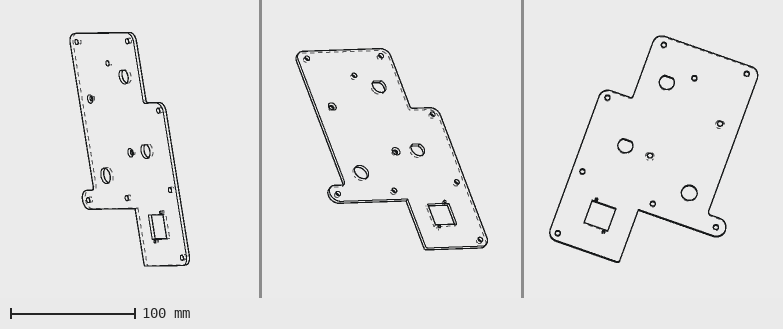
import cadquery as cq

THICKNESS = 3.0

LEFT = 10.0
RIGHT = 124.8
TOP = 136.2
BOTTOM = -54.7
STEP_U = 99.1
SHELF_V = 78.5
LEG_U = 63.5
BODY_BOTTOM = -7.5
EAR_RADIUS = 7.8
EAR_TOP = BODY_BOTTOM + 2 * EAR_RADIUS
EAR_LEFT = -8.0

CORNER_RADIUS = 7.5
EAR_NOTCH_RADIUS = 3.0
SMALL_RADIUS = 1.9
EAR_ROUND = EAR_RADIUS - 0.2

SCREW_DIAMETER = 4.2
SINK_DIAMETER = 7.0
SINK_ANGLE = 90
SCREW_POINTS = [
    (0, 0),
    (19.3, 129.4),
    (90.0, 129.4),
    (57.7, 111.5),
    (118.0, 72.2),
    (116.5, 7.2),
    (118.0, -48.2),
    (54.3, 1.1),
]
SINK_POINTS = [(25.5, 82.6), (69.8, 38.2)]

D_HOLE_RADIUS = 6.0
D_HOLE_FLAT = 5.0
D_HOLE_POINTS = [(77.4, 100.6), (91.2, 39.3)]
ROUND_HOLE_DIAMETER = 12.7
ROUND_HOLE_POINT = (29.7, 19.7)

WINDOW_WIDTH = 20.2
WINDOW_HEIGHT = 19.9
WINDOW_CENTER = (91.0, -22.9)
PILOT_DIAMETER = 2.0
PILOT_OFFSET = (7.2, 12.0)

ROLL = -19.3
TILT = -2.9
YAW = -19.3


def at(point):
    """Front-face workplane centred on a point of the plate."""
    return cq.Workplane("XZ").center(*point)


def fillet_at(body, point, radius):
    """Round the thickness-direction edge that passes through an outline corner."""
    u, v = point
    corner = cq.selectors.NearestToPointSelector((u, THICKNESS / 2, v))
    return body.edges("|Y").edges(corner).fillet(radius)


def make_plate():
    outline = [
        (LEFT, TOP),
        (STEP_U, TOP),
        (STEP_U, SHELF_V),
        (RIGHT, SHELF_V),
        (RIGHT, BOTTOM),
        (LEG_U, BOTTOM),
        (LEG_U, BODY_BOTTOM),
        (EAR_LEFT, BODY_BOTTOM),
        (EAR_LEFT, EAR_TOP),
        (LEFT, EAR_TOP),
    ]
    body = cq.Workplane("XZ").polyline(outline).close().extrude(-THICKNESS)
    for corner in [(LEFT, TOP), (STEP_U, TOP), (RIGHT, SHELF_V), (RIGHT, BOTTOM)]:
        body = fillet_at(body, corner, CORNER_RADIUS)
    for corner in [(EAR_LEFT, BODY_BOTTOM), (EAR_LEFT, EAR_TOP)]:
        body = fillet_at(body, corner, EAR_ROUND)
    body = fillet_at(body, (LEFT, EAR_TOP), EAR_NOTCH_RADIUS)
    for corner in [(STEP_U, SHELF_V), (LEG_U, BOTTOM)]:
        body = fillet_at(body, corner, SMALL_RADIUS)
    return body


def cut_screw_holes(body):
    front = body.faces("<Y").workplane(origin=(0, 0, 0))
    body = front.pushPoints(SCREW_POINTS).hole(SCREW_DIAMETER)
    front = body.faces("<Y").workplane(origin=(0, 0, 0))
    return front.pushPoints(SINK_POINTS).cskHole(SCREW_DIAMETER, SINK_DIAMETER, SINK_ANGLE)


def d_hole(point):
    """Round opening cut off by a flat on its upper side."""
    disc = at(point).circle(D_HOLE_RADIUS).extrude(-THICKNESS)
    width = 2 * D_HOLE_RADIUS
    lower_bound = D_HOLE_FLAT - width / 2
    keep = at(point).center(0, lower_bound).rect(width, width).extrude(-THICKNESS)
    return disc.intersect(keep)


def cut_openings(body):
    for point in D_HOLE_POINTS:
        body = body.cut(d_hole(point))
    round_hole = at(ROUND_HOLE_POINT).circle(ROUND_HOLE_DIAMETER / 2).extrude(-THICKNESS)
    return body.cut(round_hole)


def cut_window(body):
    window = at(WINDOW_CENTER).rect(WINDOW_WIDTH, WINDOW_HEIGHT).extrude(-THICKNESS)
    du, dv = PILOT_OFFSET
    pilots = at(WINDOW_CENTER).pushPoints([(du, dv), (-du, -dv)])
    pilots = pilots.circle(PILOT_DIAMETER / 2).extrude(-THICKNESS)
    return body.cut(window).cut(pilots)


def orient(body):
    origin = (0, 0, 0)
    body = body.rotate(origin, (0, 1, 0), ROLL)
    body = body.rotate(origin, (1, 0, 0), TILT)
    return body.rotate(origin, (0, 0, 1), YAW)


plate = cut_window(cut_openings(cut_screw_holes(make_plate())))
result = orient(plate)